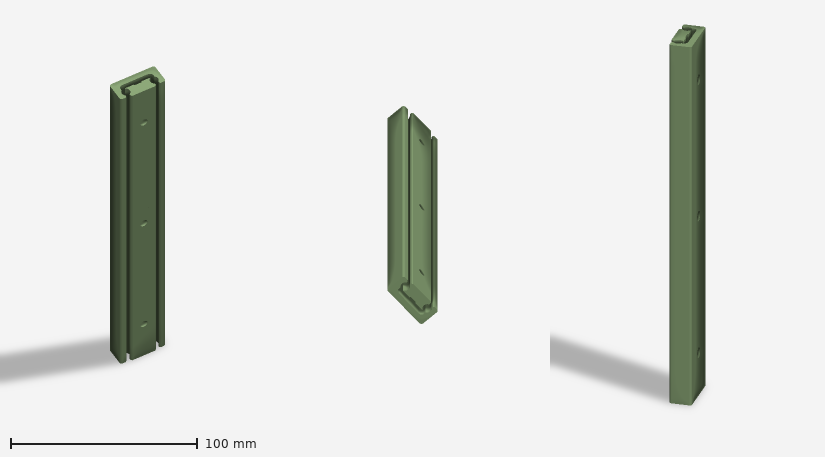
import cadquery as cq

length = 210.0
width = 28.0
depth = 13.0

housing_depth = 12.4
back_thickness = 3.5
arm_inner_y = 10.0
outer_round = 1.3
inner_round = 2.0
arm_tip_bevel = 0.6

carriage_depth = 6.7
carriage_half_width = 7.8
carriage_tip_bevel = 0.6
recess_half_width = 2.3
recess_depth = 0.6

track_radius = 2.7
housing_track_y = 8.5
carriage_track_y = 9.0
track_setback = 4.2

hole_pitch = 80.0
housing_hole_diameter = 5.9
carriage_hole_diameter = 4.5
housing_bore_length = 1.0
countersink_half_angle = 45

back_x = -depth / 2
front_x = depth / 2
housing_front_x = back_x + housing_depth
cavity_x = back_x + back_thickness
carriage_back_x = front_x - carriage_depth
track_center_x = front_x - track_setback


def bar(x_start, x_end, half_width):
    """Rectangular bar of full length, centered in Y and Z."""
    return cq.Workplane("XY").box(x_end - x_start, 2 * half_width, length).translate(
        ((x_start + x_end) / 2, 0, 0)
    )


def ball_tracks(track_y):
    """Two round rods that cut the running grooves."""
    return (
        cq.Workplane("XY", origin=(0, 0, -length / 2))
        .pushPoints([(track_center_x, -track_y), (track_center_x, track_y)])
        .circle(track_radius)
        .extrude(length)
    )


def hole_row(diameter, x):
    """Circles of the mounting holes, on a plane facing +X."""
    return (
        cq.Workplane("YZ", origin=(x, 0, 0))
        .pushPoints([(0, row * hole_pitch) for row in (-1, 0, 1)])
        .circle(diameter / 2)
    )


def countersinks():
    """Row of 90-degree cones that widen from the housing bores to the cavity."""
    cone_depth = back_thickness - housing_bore_length
    mouth_diameter = housing_hole_diameter + 2 * cone_depth
    return hole_row(mouth_diameter, cavity_x).extrude(-cone_depth, taper=countersink_half_angle)


def make_housing():
    block = bar(back_x, housing_front_x, width / 2)
    block = block.edges("|Z").fillet(outer_round)
    cavity = bar(cavity_x, housing_front_x, arm_inner_y).edges("|Z and <X").fillet(inner_round)
    channel = block.cut(cavity)
    inner_tips = cq.selectors.BoxSelector(
        (housing_front_x - arm_tip_bevel / 2, -arm_inner_y - arm_tip_bevel / 2, -length),
        (housing_front_x + arm_tip_bevel / 2, arm_inner_y + arm_tip_bevel / 2, length),
    )
    channel = channel.edges("|Z").edges(inner_tips).chamfer(arm_tip_bevel)
    bores = hole_row(housing_hole_diameter, back_x).extrude(back_thickness)
    return channel.cut(ball_tracks(housing_track_y)).cut(bores).cut(countersinks())


def make_carriage():
    rail = bar(carriage_back_x, front_x, carriage_half_width)
    rail = rail.edges("|Z and >X").chamfer(carriage_tip_bevel)
    recess = bar(carriage_back_x, carriage_back_x + recess_depth, recess_half_width)
    bores = hole_row(carriage_hole_diameter, carriage_back_x).extrude(carriage_depth)
    return rail.cut(recess).cut(ball_tracks(carriage_track_y)).cut(bores)


housing = make_housing()
carriage = make_carriage()
result = cq.Compound.makeCompound([housing.val(), carriage.val()])